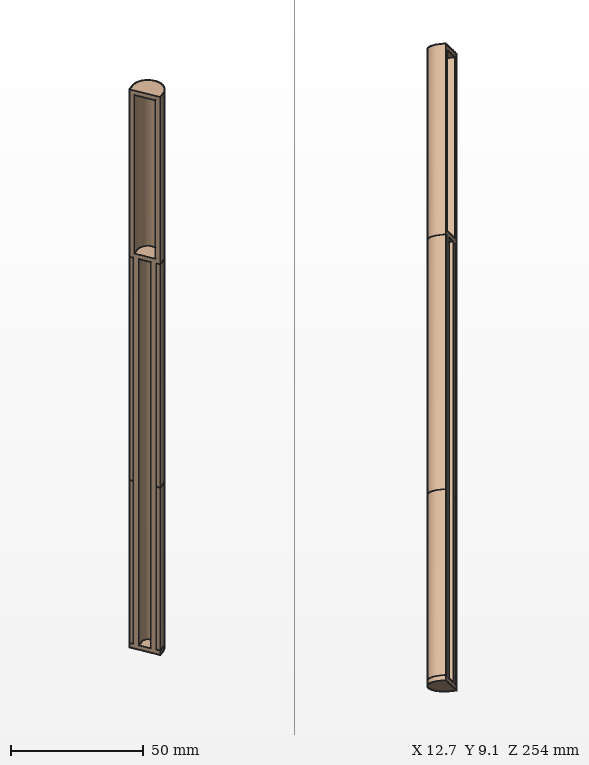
import cadquery as cq

LENGTH = 254.0
WIDTH = 12.7
DEPTH = 9.1
OUTER_RADIUS = WIDTH / 2
SIDE_DEPTH = DEPTH - OUTER_RADIUS

HEAD_BOTTOM = 177.8
SLEEVE_JOINT = 76.2
FOOT_HEIGHT = 2.0

SLEEVE_WALL = 1.55
HEAD_WALL = 2.0
SPINE_RADIUS = OUTER_RADIUS - SLEEVE_WALL
POCKET_RADIUS = OUTER_RADIUS - HEAD_WALL
GROOVE_RADIUS = 2.41


def d_bar(radius, bottom, top):
    """D-section bar opening on the front face at Y = 0, from Z = bottom to Z = top."""
    return (
        cq.Workplane("XY", origin=(0, 0, bottom))
        .moveTo(-radius, 0)
        .lineTo(radius, 0)
        .lineTo(radius, SIDE_DEPTH)
        .threePointArc((0, SIDE_DEPTH + radius), (-radius, SIDE_DEPTH))
        .close()
        .extrude(top - bottom)
    )


def make_core():
    """Head, slim spine and foot in one piece, with the head pocket and the spine groove."""
    head = d_bar(OUTER_RADIUS, HEAD_BOTTOM, LENGTH)
    spine = d_bar(SPINE_RADIUS, 0, HEAD_BOTTOM)
    foot = d_bar(OUTER_RADIUS, 0, FOOT_HEIGHT)
    pocket = d_bar(POCKET_RADIUS, HEAD_BOTTOM + HEAD_WALL, LENGTH - HEAD_WALL)
    groove = d_bar(GROOVE_RADIUS, FOOT_HEIGHT, HEAD_BOTTOM)
    return head.union(spine).union(foot).cut(pocket).cut(groove)


def make_sleeve(bottom, top):
    """Thin D-shaped shell wrapped around the spine, open at the front."""
    return d_bar(OUTER_RADIUS, bottom, top).cut(d_bar(SPINE_RADIUS, bottom, top))


core = make_core()

sleeve_spans = [(FOOT_HEIGHT, SLEEVE_JOINT), (SLEEVE_JOINT, HEAD_BOTTOM)]
sleeves = [make_sleeve(bottom, top) for bottom, top in sleeve_spans]

result = cq.Compound.makeCompound([core.val(), *[sleeve.val() for sleeve in sleeves]])